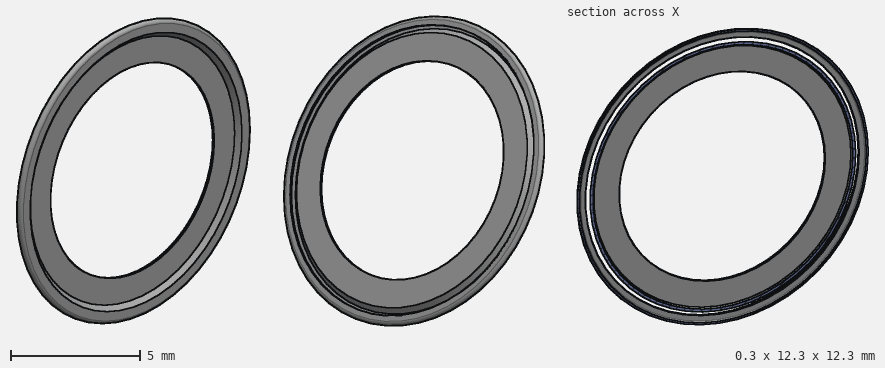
import cadquery as cq
import math

sheet_thickness = 0.1
overall_thickness = 0.3
outer_radius = 6.15
bore_radius = 4.35
lip_radius = 5.78
shoulder_top_radius = 5.47
shoulder_angle = 45

front_x = -overall_thickness / 2
back_x = overall_thickness / 2
web_back_x = front_x + sheet_thickness
lip_back_x = front_x + sheet_thickness
flange_front_x = back_x - sheet_thickness

shoulder_rise = flange_front_x - front_x
shoulder_foot_radius = shoulder_top_radius + shoulder_rise / math.tan(math.radians(shoulder_angle))
bend_offset = sheet_thickness * math.tan(math.radians(shoulder_angle / 2))

hem_center_radius = outer_radius - overall_thickness / 2
hem_inner_radius = outer_radius - sheet_thickness


def sheet_section():
    """Half section of the sheet in the XY plane: x is axial, y is radial."""
    return (
        cq.Workplane("XY")
        .moveTo(web_back_x, bore_radius)
        .lineTo(front_x, bore_radius)
        .lineTo(front_x, shoulder_top_radius)
        .lineTo(flange_front_x, shoulder_foot_radius)
        .lineTo(flange_front_x, hem_center_radius)
        .threePointArc((0, hem_inner_radius), (lip_back_x, hem_center_radius))
        .lineTo(lip_back_x, lip_radius)
        .lineTo(front_x, lip_radius)
        .lineTo(front_x, hem_center_radius)
        .threePointArc((0, outer_radius), (back_x, hem_center_radius))
        .lineTo(back_x, shoulder_foot_radius - bend_offset)
        .lineTo(web_back_x, shoulder_top_radius - bend_offset)
        .close()
    )


result = sheet_section().revolve(360, (0, 0, 0), (1, 0, 0))